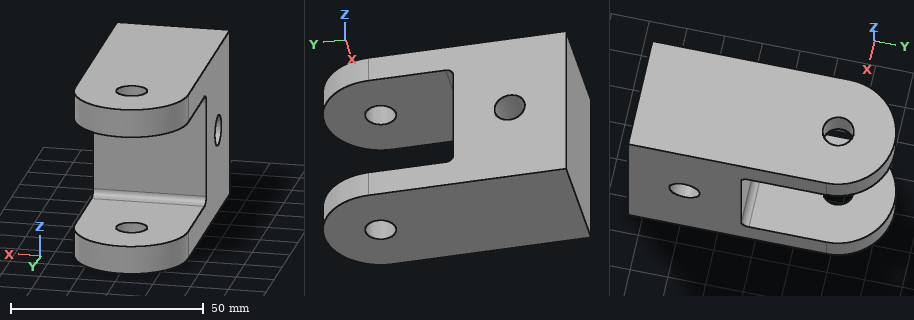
import cadquery as cq

length = 67.5
width = 30.0
height = 45.0
gap = 30.0
slot_depth = 37.5
slot_corner_radius = 2.0
hole_diameter = 8.0
cross_hole_offset = 15.0

tip_radius = width / 2
pin_y = length - tip_radius
slot_floor_y = length - slot_depth


def rounded_body():
    """Block with a flat end at Y = 0 and a full round at the far end."""
    return (
        cq.Workplane("XY")
        .moveTo(-width / 2, 0)
        .lineTo(width / 2, 0)
        .lineTo(width / 2, pin_y)
        .threePointArc((0, length), (-width / 2, pin_y))
        .close()
        .extrude(height / 2, both=True)
    )


def arm_slot():
    """Slot between the arms, with rounded corners at its floor."""
    return (
        cq.Workplane("XY")
        .box(width, slot_depth, gap)
        .edges("|X and <Y")
        .fillet(slot_corner_radius)
        .translate((0, slot_floor_y + slot_depth / 2, 0))
    )


def pin_hole():
    """Vertical hole through both arms, concentric with the rounded tips."""
    return (
        cq.Workplane("XY")
        .center(0, pin_y)
        .circle(hole_diameter / 2)
        .extrude(height / 2, both=True)
    )


def cross_hole():
    """Hole through the solid base along X, at mid height."""
    return (
        cq.Workplane("YZ")
        .center(cross_hole_offset, 0)
        .circle(hole_diameter / 2)
        .extrude(width / 2, both=True)
    )


result = rounded_body().cut(arm_slot()).cut(pin_hole()).cut(cross_hole())